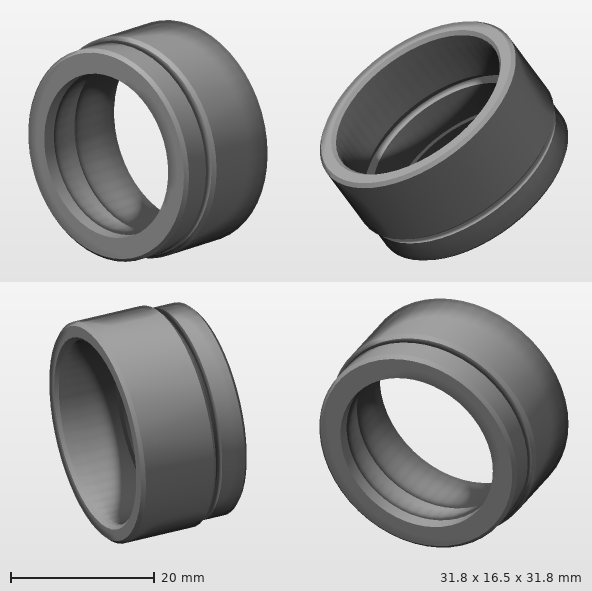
import cadquery as cq

ring_length = 16.5
body_diameter = 31.75
collar_diameter = 30.5
neck_diameter = 27.5
edge_chamfer = 0.5

collar_length = 4.0
neck_width = 1.0
body_start = collar_length + neck_width

lip_bore_diameter = 23.5
middle_bore_diameter = 25.0
rear_bore_diameter = 26.5
lip_depth = 2.0
middle_bore_end = 7.0

relief_diameter = 28.0
relief_width = 1.0
relief_end = middle_bore_end + relief_width


def cylinder(diameter, start, end):
    """Solid cylinder on the Y axis, spanning start to end."""
    disc = cq.Workplane("XZ", origin=(0, start, 0)).circle(diameter / 2)
    return disc.extrude(start - end)


def make_outside():
    collar = cylinder(collar_diameter, 0, collar_length).faces("<Y").chamfer(edge_chamfer)
    neck = cylinder(neck_diameter, collar_length, body_start)
    body = cylinder(body_diameter, body_start, ring_length).faces("<Y or >Y").chamfer(edge_chamfer)
    return collar.union(neck).union(body)


def cut_bore(ring):
    bore_steps = [
        (lip_bore_diameter, 0, lip_depth),
        (middle_bore_diameter, lip_depth, middle_bore_end),
        (relief_diameter, middle_bore_end, relief_end),
        (rear_bore_diameter, relief_end, ring_length),
    ]
    for diameter, start, end in bore_steps:
        ring = ring.cut(cylinder(diameter, start, end))
    return ring


def chamfer_rear_bore(ring):
    """Bevel the bore mouth on the body end face, leaving the outer bevel alone."""
    mouth = ring.faces(">Y").edges(cq.selectors.RadiusNthSelector(0))
    return mouth.chamfer(edge_chamfer)


result = chamfer_rear_bore(cut_bore(make_outside()))